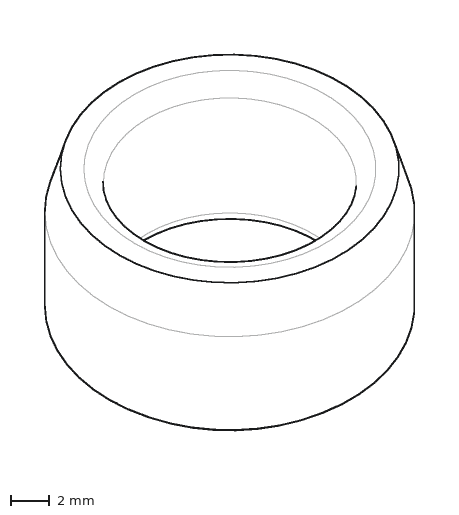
import cadquery as cq
import math

outer_diameter = 19.0
bore_diameter = 13.0
height = 10.0
taper_height = 3.0
taper_angle = 15.0
foot_chamfer = 0.5
bore_rim_radius = 1.0

outer_radius = outer_diameter / 2
bore_radius = bore_diameter / 2
top_radius = outer_radius - taper_height * math.tan(math.radians(taper_angle))


def ring_body():
    """Solid of revolution about Z: chamfered foot, straight wall, tapered head."""
    return (
        cq.Workplane("XZ")
        .moveTo(bore_radius, 0)
        .lineTo(outer_radius - foot_chamfer, 0)
        .lineTo(outer_radius, foot_chamfer)
        .lineTo(outer_radius, height - taper_height)
        .lineTo(top_radius, height)
        .lineTo(bore_radius, height)
        .close()
        .revolve(360, (0, 0, 0), (0, 1, 0))
    )


def round_bore_rims(body):
    """Round the bore edge at both end faces."""
    smallest_circles = cq.selectors.RadiusNthSelector(0)
    return body.faces("|Z").edges(smallest_circles).fillet(bore_rim_radius)


result = round_bore_rims(ring_body())